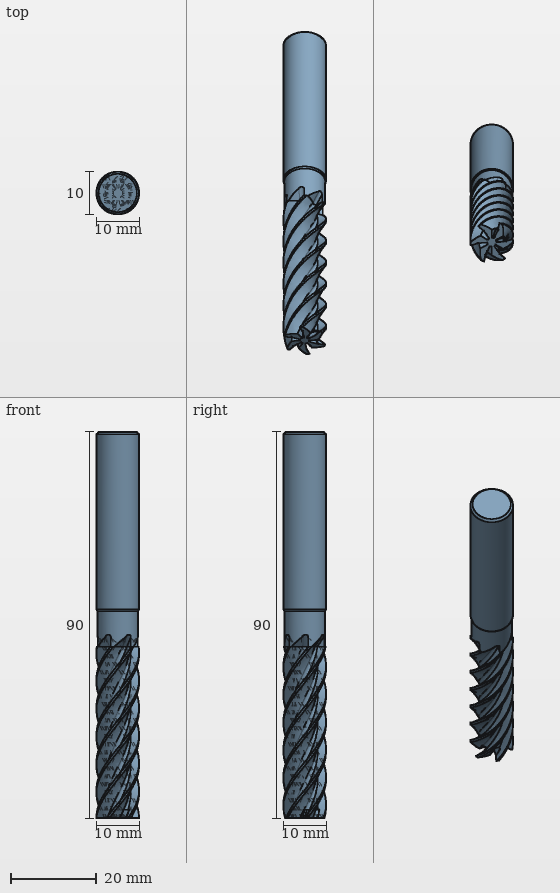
import cadquery as cq
import math

length = 90.0
diameter = 10.0
radius = diameter / 2
end_chamfer = 0.5

neck_radius = 4.8
shoulder_top = 48.7
shoulder_height = 0.45
head_length = 40.0
runout_top = 42.75

flute_count = 6
helix_angle = 39.0
core_radius = 2.7
floor_edge_radius = 3.1
back_middle_radius = 4.0
land_angle = 8.0
back_middle_angle = 22.0
floor_start_angle = 40.0
hook_angle = 5.0
edge_angle_at_neck = -50.0

gash_height = 2.0
gash_inner_radius = 1.1
gash_outer_radius = 3.4

tooth_pitch = 360.0 / flute_count
floor_end_angle = tooth_pitch + hook_angle
floor_middle_angle = (floor_start_angle + floor_end_angle) / 2
lead = math.pi * diameter / math.tan(math.radians(helix_angle))
head_twist = 360.0 * head_length / lead
edge_angle_at_tip = edge_angle_at_neck - head_twist


def polar(r, angle):
    """Point at a radius and an angle in degrees."""
    return r * math.cos(math.radians(angle)), r * math.sin(math.radians(angle))


def add_flute_wall(outline, edge):
    """Continue an outline from a land down the tooth back, over the floor and up to the next edge."""
    return (
        outline.threePointArc(
            polar(back_middle_radius, edge + back_middle_angle),
            polar(floor_edge_radius, edge + floor_start_angle),
        )
        .threePointArc(
            polar(core_radius, edge + floor_middle_angle),
            polar(floor_edge_radius, edge + floor_end_angle),
        )
        .lineTo(*polar(radius, edge + tooth_pitch))
    )


def revolve_about_z(profile):
    """Turn a closed (radius, height) profile about the Z axis."""
    return cq.Workplane("XZ").polyline(profile).close().revolve(360, (0, 0, 0), (0, 1, 0))


def make_runout(edge):
    """Straight continuation of one flute into the neck, sliding outward along the rake face as it rises."""
    outline = cq.Workplane("XY").moveTo(*polar(radius, edge + land_angle))
    outline = add_flute_wall(outline, edge)
    middle_angle = edge + (land_angle + tooth_pitch) / 2
    outline = outline.threePointArc(polar(radius, middle_angle), polar(radius, edge + land_angle))
    wire = outline.wire().val().translate(cq.Vector(0, 0, head_length))
    foot = cq.Vector(*polar(floor_edge_radius, edge + floor_end_angle))
    rake = cq.Vector(*polar(radius, edge + tooth_pitch)) - foot
    slide = rake.normalized() * (neck_radius - core_radius)
    rise = cq.Vector(0, 0, runout_top - head_length)
    return cq.Solid.extrudeLinear(wire, [], slide + rise)


def make_shank():
    """Shank and neck in one piece, with the flutes running out into the neck."""
    shank = revolve_about_z(
        [
            (0, head_length),
            (neck_radius, head_length),
            (neck_radius, shoulder_top - shoulder_height),
            (radius, shoulder_top),
            (radius, length - end_chamfer),
            (radius - end_chamfer, length),
            (0, length),
        ]
    )
    for flute in range(flute_count):
        shank = shank.cut(cq.Workplane(make_runout(edge_angle_at_neck + flute * tooth_pitch)))
    return shank


def make_gash(edge):
    """Twisted pocket that deepens the floor of one flute next to the end face."""
    start = edge + floor_start_angle
    middle = edge + floor_middle_angle
    end = edge + floor_end_angle
    outline = (
        cq.Workplane("XY")
        .moveTo(*polar(gash_inner_radius, start))
        .lineTo(*polar(gash_outer_radius, start))
        .threePointArc(polar(gash_outer_radius, middle), polar(gash_outer_radius, end))
        .lineTo(*polar(gash_inner_radius, end))
        .threePointArc(polar(gash_inner_radius, middle), polar(gash_inner_radius, start))
        .close()
    )
    return outline.twistExtrude(gash_height, head_twist * gash_height / head_length)


def make_head():
    """Helical cutting head with a gash at the end of each flute."""
    section = cq.Workplane("XY").moveTo(*polar(radius, edge_angle_at_tip))
    edges = [edge_angle_at_tip + tooth * tooth_pitch for tooth in range(flute_count)]
    for edge in edges:
        land_middle = polar(radius, edge + land_angle / 2)
        section = section.threePointArc(land_middle, polar(radius, edge + land_angle))
        section = add_flute_wall(section, edge)
    head = section.close().twistExtrude(head_length, head_twist)
    for edge in edges:
        head = head.cut(make_gash(edge))
    return head


shank = make_shank()
head = make_head()
result = cq.Compound.makeCompound([*shank.solids().vals(), *head.solids().vals()])